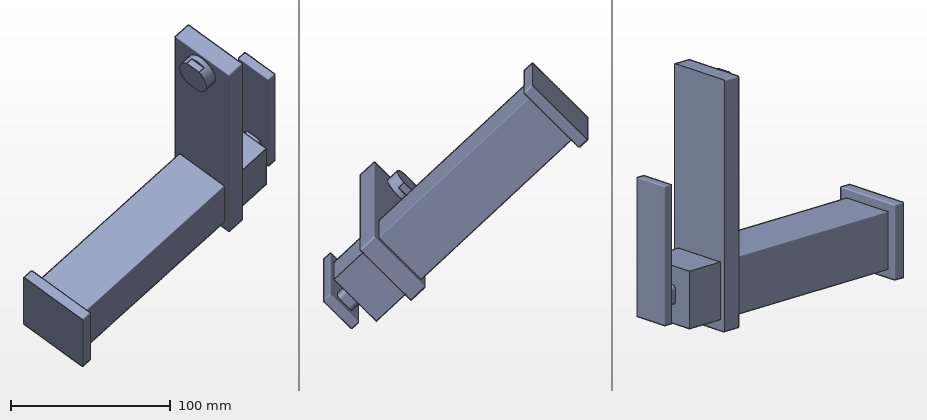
import cadquery as cq


plate_width = 46.0
plate_height = 166.2
plate_thickness = 12.5
plate_corner_radius = 1.2
plate_front_radius = 0.5

arm_size = 38.0
arm_length = 131.9
arm_edge_radius = 0.4
block_length = 26.5
axis_height = 26.4

cap_size = 50.0
cap_thickness = 7.5
cap_corner_radius = 1.2
cap_back_radius = 1.0

boss_diameter = 22.5
boss_length = 8.5
boss_flat_spacing = 20.0
boss_flat_length = 4.7
boss_height = 152.5

overall_length = 194.0
stem_size = 12.8
stem_corner_radius = 3.0
stem_length = 9.1
lever_width = 25.6
lever_height = 92.0
lever_bottom = 11.2
lever_edge_radius = 0.5

block_back = plate_thickness + block_length
lever_front = block_back + stem_length
lever_thickness = overall_length - cap_thickness - arm_length - lever_front


def bar_along_y(width, height, y_start, length, z_center):
    """Rectangular bar running toward +Y, centred on X = 0."""
    return cq.Workplane("XY").box(width, length, height).translate((0, y_start + length / 2, z_center))


def make_plate():
    plate = bar_along_y(plate_width, plate_height, 0, plate_thickness, plate_height / 2)
    return plate.edges("|Y").fillet(plate_corner_radius).faces("<Y").edges().fillet(plate_front_radius)


def make_arm():
    arm = bar_along_y(arm_size, arm_size, -arm_length, arm_length, axis_height)
    return arm.edges("|Y").fillet(arm_edge_radius)


def make_cap():
    cap = bar_along_y(cap_size, cap_size, -arm_length - cap_thickness, cap_thickness, axis_height)
    return cap.edges("|Y").fillet(cap_corner_radius).faces(">Y").edges().fillet(cap_back_radius)


def make_boss():
    boss = cq.Workplane("XZ", origin=(0, 0, boss_height)).circle(boss_diameter / 2).extrude(boss_length)
    round_length = boss_length - boss_flat_length
    round_part = bar_along_y(boss_diameter, boss_diameter, -round_length, round_length, boss_height)
    flat_part = bar_along_y(boss_diameter, boss_flat_spacing, -boss_length, boss_flat_length, boss_height)
    return boss.intersect(round_part.union(flat_part))


def make_holder():
    """Plate, arm, cap, rear block and boss as one solid."""
    block = bar_along_y(arm_size, arm_size, plate_thickness, block_length, axis_height)
    return make_plate().union(make_arm()).union(make_cap()).union(block).union(make_boss())


def make_lever():
    """Upright lever blade with the rounded square stem that meets the rear block."""
    stem = bar_along_y(stem_size, stem_size, block_back, stem_length, axis_height)
    stem = stem.edges("|Y").fillet(stem_corner_radius)
    blade_center = lever_bottom + lever_height / 2
    blade = bar_along_y(lever_width, lever_height, lever_front, lever_thickness, blade_center)
    return blade.edges().fillet(lever_edge_radius).union(stem)


holder = make_holder()
lever = make_lever()
result = cq.Compound.makeCompound([holder.val(), lever.val()])